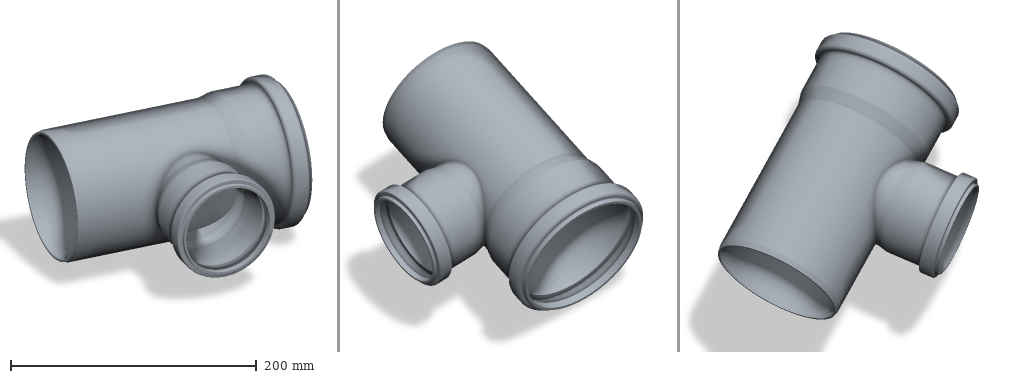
import cadquery as cq

LENGTH = 206.5
PIPE_OUTER_RADIUS = 110.0 / 2
PIPE_INNER_RADIUS = 104.5 / 2
SPIGOT_BEVEL_LENGTH = 4.7
SPIGOT_BEVEL_DEPTH = 1.0
SOCKET_CONE_START = 143.5
SOCKET_CONE_END = 154.5
SOCKET_OUTER_RADIUS = 116.0 / 2
SOCKET_INNER_RADIUS = 111.0 / 2
COLLAR_OUTER_RADIUS = 126.5 / 2
COLLAR_GROOVE_RADIUS = 121.5 / 2
COLLAR_START = 188.0
COLLAR_END = 202.8
COLLAR_ROUND = 2.9
COLLAR_ROOT_FILLET = 1.2

BRANCH_TILT = 2.5
BRANCH_Y = 104.0
BRANCH_LENGTH = 110.3
NECK_OUTER_RADIUS = 75.4 / 2
NECK_INNER_RADIUS = 71.0 / 2
BRANCH_CONE_START = 55.0
BRANCH_CONE_END = 63.2
BRANCH_SOCKET_OUTER_RADIUS = 79.5 / 2
BRANCH_SOCKET_INNER_RADIUS = 75.8 / 2
BRANCH_COLLAR_OUTER_RADIUS = 88.5 / 2
BRANCH_COLLAR_GROOVE_RADIUS = 85.0 / 2
BRANCH_COLLAR_START = 95.0
BRANCH_COLLAR_END = 107.4
BRANCH_COLLAR_ROUND = 1.0
BRANCH_COLLAR_ROOT_FILLET = 0.8
SADDLE_FILLET = 1.0
CONE_OVERLAP = 2.0


def revolve_about_y(outline):
    """Revolve a closed (radius, Y) outline about the Y axis."""
    return outline.close().revolve(360, (0, 0, 0), (0, 1, 0))


def bell(pipe_radius, cone_start, cone_end, socket_radius, length):
    """Solid of revolution along Y: cone widening from the pipe, then the straight socket."""
    return revolve_about_y(
        cq.Workplane("XY")
        .moveTo(0, cone_start)
        .lineTo(pipe_radius, cone_start)
        .lineTo(socket_radius, cone_end)
        .lineTo(socket_radius, length)
        .lineTo(0, length)
    )


def sunk_cone_start(pipe_radius, cone_start, cone_end, socket_radius):
    """Radius and station where the cone begins once prolonged into the pipe wall."""
    slope = (socket_radius - pipe_radius) / (cone_end - cone_start)
    return pipe_radius - slope * CONE_OVERLAP, cone_start - CONE_OVERLAP


def disc(radius, start, end):
    """Solid disc about the Y axis between two stations."""
    return cq.Workplane("XZ", origin=(0, start, 0)).circle(radius).extrude(start - end)


def socket_with_collar(bell_body, socket_radius, collar_body, root_fillet):
    """Join a collar to its socket and fillet both roots of the collar."""
    joined = bell_body.union(collar_body)
    bounds = collar_body.val().BoundingBox()
    reach = socket_radius + root_fillet / 2
    roots = cq.selectors.BoxSelector(
        (-reach, bounds.ymin - root_fillet / 2, -reach),
        (reach, bounds.ymax + root_fillet / 2, reach),
        boundingbox=True,
    )
    return joined.edges(roots).edges("%CIRCLE").fillet(root_fillet)


def collar(radius, start, end, rounding):
    """Disc with both rims rounded."""
    return disc(radius, start, end).edges().fillet(rounding)


def place_branch(body):
    """Turn a body built along Y onto the tilted branch axis."""
    turned = body.rotate((0, 0, 0), (0, 0, 1), BRANCH_TILT - 90)
    return turned.translate((0, BRANCH_Y, 0))


def bore(pipe_radius, cone_start, cone_end, socket_radius, length):
    """Hollow along Y: straight pipe bore opening into a wider socket."""
    pipe = disc(pipe_radius, 0, cone_start)
    return pipe.union(bell(pipe_radius, cone_start, cone_end, socket_radius, length))


def main_bore():
    wall = COLLAR_OUTER_RADIUS - COLLAR_GROOVE_RADIUS
    groove = disc(COLLAR_GROOVE_RADIUS, COLLAR_START + wall, COLLAR_END - wall)
    return bore(
        PIPE_INNER_RADIUS, SOCKET_CONE_START, SOCKET_CONE_END, SOCKET_INNER_RADIUS, LENGTH
    ).union(groove)


def branch_bore():
    wall = BRANCH_COLLAR_OUTER_RADIUS - BRANCH_COLLAR_GROOVE_RADIUS
    groove = disc(
        BRANCH_COLLAR_GROOVE_RADIUS, BRANCH_COLLAR_START + wall, BRANCH_COLLAR_END - wall
    )
    return bore(
        NECK_INNER_RADIUS,
        BRANCH_CONE_START,
        BRANCH_CONE_END,
        BRANCH_SOCKET_INNER_RADIUS,
        BRANCH_LENGTH,
    ).union(groove)


def pipe_and_neck():
    """Bevelled straight pipe and straight branch neck, filleted along the saddle line."""
    pipe = disc(PIPE_OUTER_RADIUS, 0, SOCKET_CONE_END)
    bevel = revolve_about_y(
        cq.Workplane("XY")
        .moveTo(PIPE_OUTER_RADIUS - SPIGOT_BEVEL_DEPTH, 0)
        .lineTo(PIPE_OUTER_RADIUS, 0)
        .lineTo(PIPE_OUTER_RADIUS, SPIGOT_BEVEL_LENGTH)
    )
    neck = place_branch(disc(NECK_OUTER_RADIUS, 0, BRANCH_CONE_END))
    joined = pipe.union(neck)
    saddle_box = cq.selectors.BoxSelector(
        (0, SPIGOT_BEVEL_LENGTH, -PIPE_OUTER_RADIUS),
        (BRANCH_CONE_START + 2, SOCKET_CONE_END, PIPE_OUTER_RADIUS),
    )
    return joined.edges(saddle_box).fillet(SADDLE_FILLET).cut(bevel)


main_socket = bell(
    *sunk_cone_start(PIPE_OUTER_RADIUS, SOCKET_CONE_START, SOCKET_CONE_END, SOCKET_OUTER_RADIUS),
    SOCKET_CONE_END,
    SOCKET_OUTER_RADIUS,
    LENGTH,
)
branch_socket = bell(
    *sunk_cone_start(
        NECK_OUTER_RADIUS, BRANCH_CONE_START, BRANCH_CONE_END, BRANCH_SOCKET_OUTER_RADIUS
    ),
    BRANCH_CONE_END,
    BRANCH_SOCKET_OUTER_RADIUS,
    BRANCH_LENGTH,
)
main_collar = collar(COLLAR_OUTER_RADIUS, COLLAR_START, COLLAR_END, COLLAR_ROUND)
branch_collar = collar(
    BRANCH_COLLAR_OUTER_RADIUS, BRANCH_COLLAR_START, BRANCH_COLLAR_END, BRANCH_COLLAR_ROUND
)
main_end = socket_with_collar(
    main_socket, SOCKET_OUTER_RADIUS, main_collar, COLLAR_ROOT_FILLET
)
branch_end = socket_with_collar(
    branch_socket, BRANCH_SOCKET_OUTER_RADIUS, branch_collar, BRANCH_COLLAR_ROOT_FILLET
)
outside = pipe_and_neck().union(main_end).union(place_branch(branch_end))

result = outside.cut(main_bore()).cut(place_branch(branch_bore()))